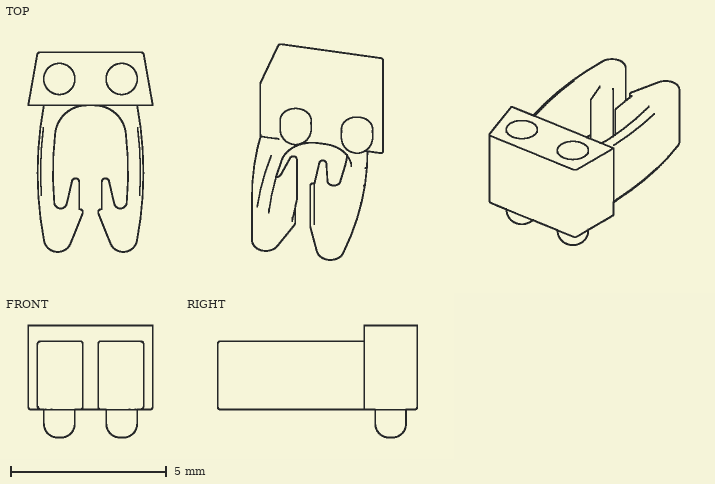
import cadquery as cq
import math

BLOCK_FRONT_WIDTH = 4.0
BLOCK_DEPTH = 1.71
BLOCK_HEIGHT = 2.7
BLOCK_TAPER_ANGLE = 10.0
EDGE_RADIUS = 0.1
RIM_RADIUS = 0.099

PIN_DIAMETER = 1.0
PIN_SPACING = 2.0
PIN_LENGTH = 0.9
PIN_END_RADIUS = 0.45
PIN_Y = 0.85
SOCKET_DEPTH = 1.0

ARM_HEIGHT = 2.2
ARM_LENGTH = 4.7
ARM_WALL = 0.5
ARM_ROOT_HALF_WIDTH = 1.5
ARM_MAX_HALF_WIDTH = 1.7
ARM_BULGE_Y = -2.15
ARM_OVERLAP = 0.5
ARM_TIP_RADIUS = 0.45
MOUTH_CORNER_RADIUS = 1.0
MOUTH_CORNER_MIDDLE_ANGLE = math.radians(45)

SLOT_RADIUS = 0.2
SLOT_CENTER_Y = -3.1
FINGER_FACE_X = 0.36
FINGER_TIP_RADIUS = 0.12
FINGER_TIP_Y = -2.335
BARB_RADIUS = 0.1
BARB_MIDDLE_ANGLE = math.radians(135)
BARB_CENTER = (0.341, -3.425)

POSITION_TOLERANCE = 1e-4

BULGE_RISE = ARM_MAX_HALF_WIDTH - ARM_ROOT_HALF_WIDTH
OUTER_RADIUS = (ARM_BULGE_Y**2 + BULGE_RISE**2) / (2 * BULGE_RISE)
INNER_RADIUS = OUTER_RADIUS - ARM_WALL
ARC_CENTER = (ARM_MAX_HALF_WIDTH - OUTER_RADIUS, ARM_BULGE_Y)


def x_on_arc(radius, y):
    """X of the point with the given y on a circle about the arm arc centre."""
    return ARC_CENTER[0] + math.sqrt(radius**2 - (y - ARC_CENTER[1]) ** 2)


def polar(center, radius, angle):
    """Point at a radius and angle (in radians) from a centre."""
    return (center[0] + radius * math.cos(angle), center[1] + radius * math.sin(angle))


def direction(start, end):
    """Angle (in radians) of the line from start to end."""
    return math.atan2(end[1] - start[1], end[0] - start[0])


def arm_point(radius, center):
    """Point of an arm arc in line with the centre of a circle tangent to it."""
    return polar(ARC_CENTER, radius, direction(ARC_CENTER, center))


def make_block():
    front_half_width = BLOCK_FRONT_WIDTH / 2
    back_half_width = front_half_width - BLOCK_DEPTH * math.tan(math.radians(BLOCK_TAPER_ANGLE))
    outline = [
        (-front_half_width, 0),
        (front_half_width, 0),
        (back_half_width, BLOCK_DEPTH),
        (-back_half_width, BLOCK_DEPTH),
    ]
    block = cq.Workplane("XY").polyline(outline).close().extrude(BLOCK_HEIGHT)
    return block.edges("|Z and >Y").fillet(EDGE_RADIUS)


def make_arm():
    """The +X arm, with a root that reaches into the block."""
    tip_y = ARM_TIP_RADIUS - ARM_LENGTH
    tip = (x_on_arc(OUTER_RADIUS - ARM_TIP_RADIUS, tip_y), tip_y)
    slot = (x_on_arc(INNER_RADIUS - SLOT_RADIUS, SLOT_CENTER_Y), SLOT_CENTER_Y)
    finger = (FINGER_FACE_X + FINGER_TIP_RADIUS, FINGER_TIP_Y - FINGER_TIP_RADIUS)
    corner_y = -MOUTH_CORNER_RADIUS
    corner = (x_on_arc(INNER_RADIUS - MOUTH_CORNER_RADIUS, corner_y), corner_y)

    barb_span = math.dist(tip, BARB_CENTER)
    barb_lean = math.acos((ARM_TIP_RADIUS - BARB_RADIUS) / barb_span)
    barb_normal = direction(tip, BARB_CENTER) + barb_lean

    finger_span = math.dist(finger, slot)
    finger_lean = math.acos((FINGER_TIP_RADIUS + SLOT_RADIUS) / finger_span)
    finger_normal = direction(finger, slot) + finger_lean

    barb_top = BARB_CENTER[1] + math.sqrt(BARB_RADIUS**2 - (FINGER_FACE_X - BARB_CENTER[0]) ** 2)

    outline = (
        cq.Workplane("XY")
        .moveTo(0, ARM_OVERLAP)
        .lineTo(x_on_arc(OUTER_RADIUS, ARM_OVERLAP), ARM_OVERLAP)
        .threePointArc((ARM_MAX_HALF_WIDTH, ARM_BULGE_Y), arm_point(OUTER_RADIUS, tip))
        .threePointArc((tip[0], -ARM_LENGTH), polar(tip, ARM_TIP_RADIUS, barb_normal))
        .lineTo(*polar(BARB_CENTER, BARB_RADIUS, barb_normal))
        .threePointArc(polar(BARB_CENTER, BARB_RADIUS, BARB_MIDDLE_ANGLE), (FINGER_FACE_X, barb_top))
        .lineTo(FINGER_FACE_X, finger[1])
        .threePointArc((finger[0], FINGER_TIP_Y), polar(finger, FINGER_TIP_RADIUS, finger_normal))
        .lineTo(*polar(slot, SLOT_RADIUS, finger_normal + math.pi))
        .threePointArc((slot[0], slot[1] - SLOT_RADIUS), arm_point(INNER_RADIUS, slot))
        .threePointArc((x_on_arc(INNER_RADIUS, ARM_BULGE_Y), ARM_BULGE_Y), arm_point(INNER_RADIUS, corner))
        .threePointArc(polar(corner, MOUTH_CORNER_RADIUS, MOUTH_CORNER_MIDDLE_ANGLE), (corner[0], 0))
        .lineTo(0, 0)
        .close()
    )
    return outline.extrude(ARM_HEIGHT)


def make_clip():
    """Both arms joined at the root, with the upper rim rounded."""
    arm = make_arm()
    clip = arm.union(arm.mirror("YZ")).clean()
    return clip.faces(">Z").edges("not >Y").fillet(RIM_RADIUS)


def is_rounded_below(edge):
    """False for the bottom edges of the block's front face on either side of the arms."""
    middle = edge.Center()
    on_front_face = abs(middle.y) < POSITION_TOLERANCE
    return not (on_front_face and abs(middle.x) > ARM_ROOT_HALF_WIDTH)


def round_bottom(body):
    return body.faces("<Z").edges().filter(is_rounded_below).fillet(RIM_RADIUS)


def pin_locations(z):
    return cq.Workplane("XY", origin=(0, PIN_Y, z)).rarray(PIN_SPACING, 1, 2, 1)


def make_pins():
    shafts = pin_locations(-PIN_LENGTH).circle(PIN_DIAMETER / 2).extrude(PIN_LENGTH)
    return shafts.faces("<Z").edges().fillet(PIN_END_RADIUS)


def make_sockets():
    return pin_locations(BLOCK_HEIGHT - SOCKET_DEPTH).circle(PIN_DIAMETER / 2).extrude(SOCKET_DEPTH)


body = round_bottom(make_block().union(make_clip()))
result = body.union(make_pins()).cut(make_sockets())